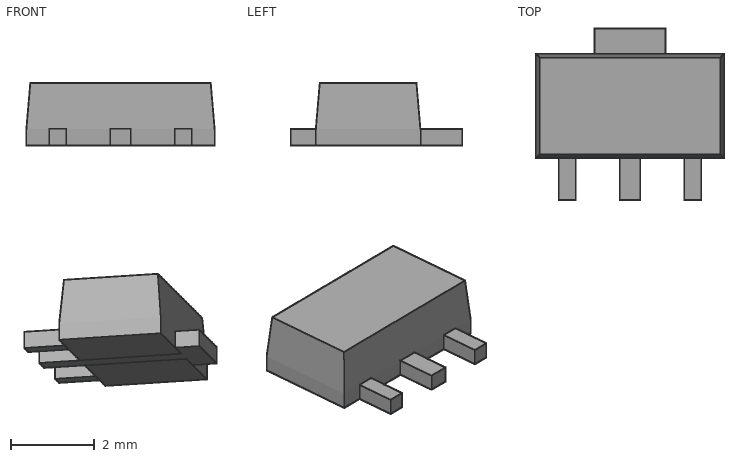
import cadquery as cq

HOUSING_LENGTH = 4.5
HOUSING_WIDTH = 2.5
HOUSING_HEIGHT = 1.5
TOP_INSET = 0.095

LEAD_THICKNESS = 0.4
LEAD_REACH = 1.0
LEAD_PITCH = 1.5
SIDE_LEAD_WIDTH = 0.415
CENTRE_LEAD_WIDTH = 0.5
TAB_WIDTH = 1.7
TAB_REACH = 0.6

FRONT_Y = -HOUSING_WIDTH / 2
BACK_Y = HOUSING_WIDTH / 2


def flat_bar(width, start_y, end_y, centre_x=0.0):
    """Bar lying on Z = 0, running along Y, with the thickness of a lead."""
    return (
        cq.Workplane("XY")
        .box(width, end_y - start_y, LEAD_THICKNESS, centered=(True, False, False))
        .translate((centre_x, start_y, 0))
    )


def make_centre_lead():
    """Middle lead running under the housing and widening into the tab behind it."""
    lead = flat_bar(CENTRE_LEAD_WIDTH, FRONT_Y - LEAD_REACH, BACK_Y)
    tab = flat_bar(TAB_WIDTH, BACK_Y, BACK_Y + TAB_REACH)
    return lead.union(tab).solids()


def make_side_lead(centre_x):
    """Outer lead butting against the front face of the housing."""
    return flat_bar(SIDE_LEAD_WIDTH, FRONT_Y - LEAD_REACH, FRONT_Y, centre_x)


def make_housing():
    """Base band and tapered cap, with a channel underneath for the centre lead."""
    base = flat_bar(HOUSING_LENGTH, FRONT_Y, BACK_Y)
    cap = (
        cq.Workplane("XY", origin=(0, 0, LEAD_THICKNESS))
        .rect(HOUSING_LENGTH, HOUSING_WIDTH)
        .workplane(offset=HOUSING_HEIGHT - LEAD_THICKNESS)
        .rect(HOUSING_LENGTH - 2 * TOP_INSET, HOUSING_WIDTH - 2 * TOP_INSET)
        .loft(ruled=True)
    )
    channel = flat_bar(CENTRE_LEAD_WIDTH, FRONT_Y, BACK_Y)
    return base.union(cap).cut(channel).solids()


housing = make_housing()
centre_lead = make_centre_lead()
side_leads = [make_side_lead(side * LEAD_PITCH) for side in (-1, 1)]

result = cq.Compound.makeCompound(
    [housing.val(), centre_lead.val(), *[lead.val() for lead in side_leads]]
)